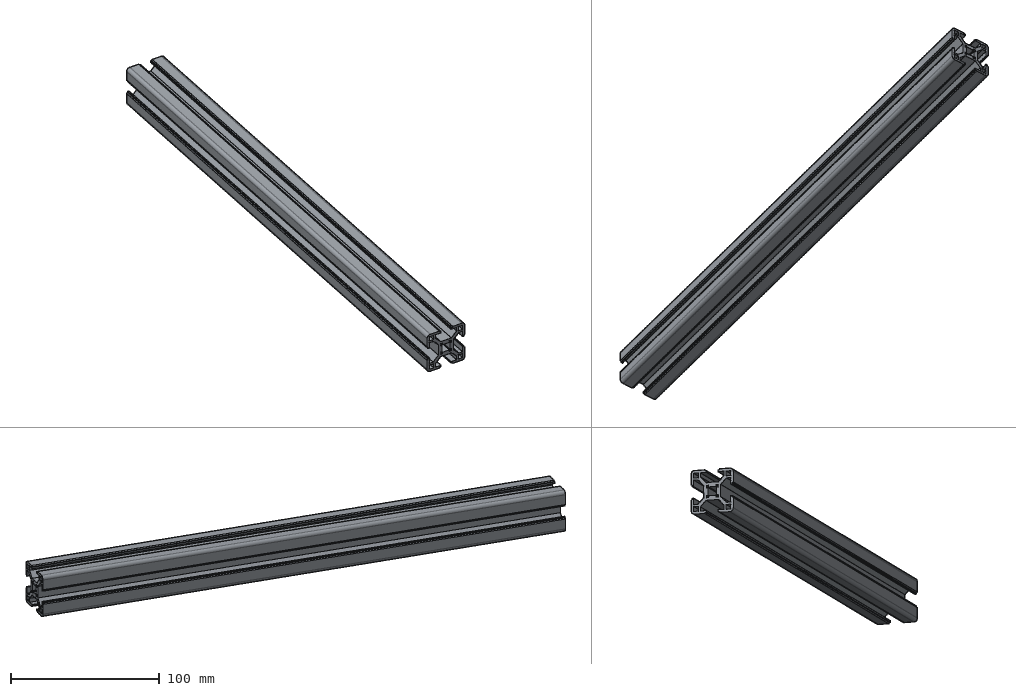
import cadquery as cq
import math

length = 380.0
width = 30.0
half_width = width / 2
corner_radius = 2.5

slot_opening = 8.0
slot_inner_width = 16.7
lip_thickness = 2.0

rebate_depth = 0.8
rebate_floor_width = 0.8
rebate_wall_run = 0.57

core_width = 12.0
web_thickness = 2.5

cavity_wall = 1.5

bore_width = 6.0
bore_relief_reach = 4.0
bore_relief_width = 1.5


def section():
    """Workplane of the profile section, seen along the length."""
    return cq.Workplane("YZ")


def bar(outline):
    """Extrude a section outline along the full length, centred on X."""
    return outline.extrude(length / 2, both=True)


def blank():
    return bar(section().rect(width, width)).edges("|X").fillet(corner_radius)


def slot():
    """Slot in the +Z side, wide behind the lips and tapering along the webs to the core."""
    half_opening = slot_opening / 2
    rebate_floor = half_width - rebate_depth
    rebate_corner = half_opening + rebate_floor_width
    lip_inner = half_width - lip_thickness
    half_inner = slot_inner_width / 2
    core_face = core_width / 2
    web_offset = web_thickness / math.sqrt(2)

    half_outline = [
        (rebate_corner + rebate_wall_run, half_width),
        (rebate_corner, rebate_floor),
        (half_opening, rebate_floor),
        (half_opening, lip_inner),
        (half_inner, lip_inner),
        (half_inner, half_inner + web_offset),
        (core_face - web_offset, core_face),
    ]
    mirrored_half = [(-y, z) for y, z in reversed(half_outline)]
    return bar(section().polyline(half_outline + mirrored_half).close())


def corner_cavities():
    near_side = slot_inner_width / 2 + cavity_wall
    far_side = half_width - lip_thickness
    size = far_side - near_side
    spacing = near_side + far_side
    return bar(section().rarray(spacing, spacing, 2, 2).rect(size, size))


def bore():
    square = bar(section().rect(bore_width, bore_width))
    spacing = 2 * bore_relief_reach - bore_relief_width
    relief_centres = section().rarray(spacing, spacing, 2, 2)
    return square.union(bar(relief_centres.rect(bore_relief_width, bore_relief_width)))


result = blank()
for side in range(4):
    result = result.cut(slot().rotate((0, 0, 0), (1, 0, 0), 90 * side))
result = result.cut(corner_cavities()).cut(bore())